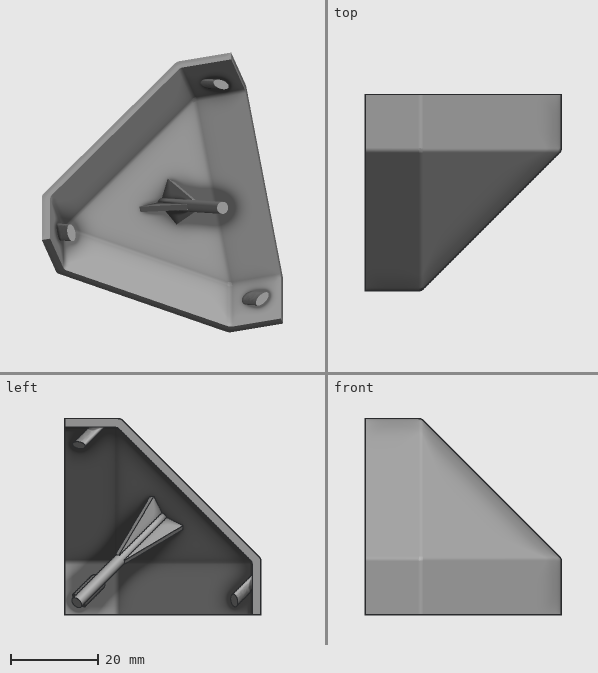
import cadquery as cq
import math

size = 45.0
leg = 12.9
wall = 2.0
edge_radius = 1.5

post_diameter = 2.8
post_tip = 2.8
fin_reach = 5.85
fin_height = 16.9
fin_thickness = 1.25

pin_major_radius = 2.0
pin_minor_radius = 1.0
pin_tip_side = 3.3
pin_tip_height = 38.9

diagonal = cq.Vector(1, 1, 1)
diagonal_step = math.sqrt(3)
embed = wall / 2

inner_size = size - wall
inner_leg = size + leg - wall * math.sqrt(2) - inner_size


def corner_face(reach, flat):
    """Coordinate, equal on all axes, where the triangular face crosses the diagonal."""
    return (reach + 2 * flat) / 3


def faceted_corner(reach, flat):
    """Cube with three bevelled edges and a bevelled corner, rounded between its outer faces."""
    outline = [(0, 0), (reach, 0), (reach, flat), (flat, reach), (0, reach)]
    solid = cq.Workplane("XY").polyline(outline).close().extrude(reach)
    for plane in ("YZ", "ZX"):
        solid = solid.intersect(cq.Workplane(plane).polyline(outline).close().extrude(reach))
    corner_plane = cq.Plane(origin=(corner_face(reach, flat),) * 3, xDir=(1, -1, 0), normal=diagonal)
    solid = solid.cut(cq.Workplane(corner_plane).rect(4 * reach, 4 * reach).extrude(reach))

    clearance = flat / 10
    outer_edges = [edge for edge in solid.edges().vals() if min(edge.Center().toTuple()) > clearance]
    return cq.Workplane(solid.val().fillet(edge_radius, outer_edges))


def post():
    """Round post on the inner triangular face, pointing at the open corner."""
    base = corner_face(inner_size, inner_leg)
    length = (base - post_tip) * diagonal_step + embed
    plane = cq.Plane(origin=(post_tip,) * 3, xDir=(1, -1, 0), normal=diagonal)
    return cq.Workplane(plane).circle(post_diameter / 2).extrude(length)


def fin(outward):
    """Triangular fin at the foot of the post, standing out in the given direction."""
    base = corner_face(inner_size, inner_leg)
    side = diagonal.cross(outward)
    plane = cq.Plane(origin=(base,) * 3, xDir=outward, normal=side)
    profile = [
        (0, -embed),
        (fin_reach, -embed),
        (fin_reach, 0),
        (post_diameter / 2, fin_height),
        (0, fin_height),
    ]
    return cq.Workplane(plane).polyline(profile).close().extrude(fin_thickness / 2, both=True)


def pin(axis):
    """Elliptical pin, parallel to the post, on the square flat of one axis (0, 1 or 2)."""
    tip = [pin_tip_side] * 3
    tip[axis] = pin_tip_height
    across = [1, 1, 1]
    across[axis] = 0
    across[(axis + 1) % 3] = -1
    length = (inner_size + embed - pin_tip_height) * diagonal_step
    plane = cq.Plane(origin=tuple(tip), xDir=tuple(across), normal=diagonal)
    return cq.Workplane(plane).ellipse(pin_major_radius, pin_minor_radius).extrude(length)


cap = faceted_corner(size, leg).cut(faceted_corner(inner_size, inner_leg))
cap = cap.union(post())
for axis in range(3):
    outward = [-1, -1, -1]
    outward[axis] = 2
    cap = cap.union(fin(cq.Vector(*outward)))
    cap = cap.union(pin(axis))

result = cap.mirror("XZ").translate((0, size, 0))